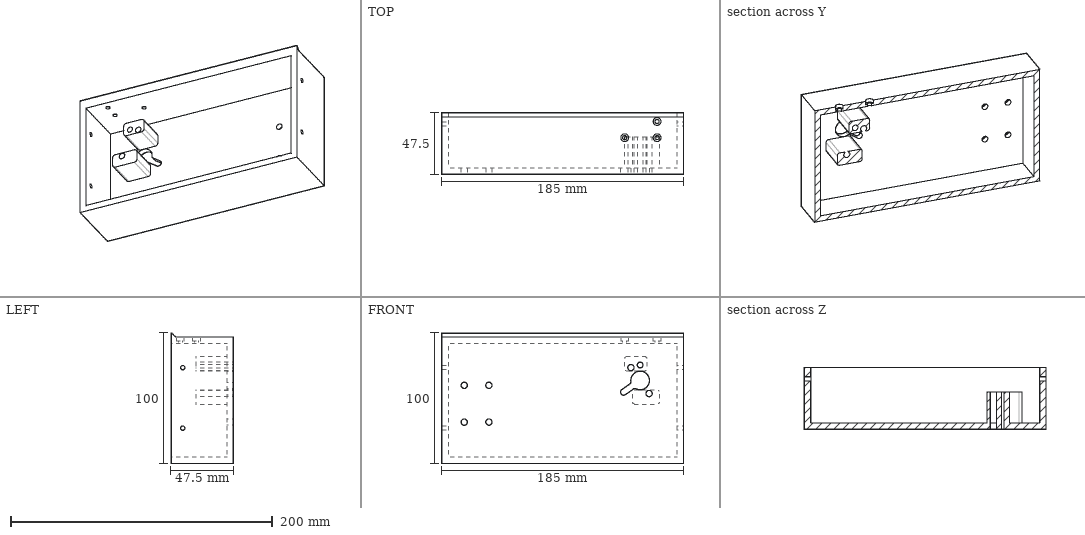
import cadquery as cq
import math

length = 185.0
depth = 47.5
total_height = 100.0
wall = 5.0

lip_height = 3.0
lip_flat = 0.5
box_height = total_height - lip_height

key_x = 151.7
key_z = 63.7
key_diameter = 14.0
slot_end_x = 139.2
slot_end_z = 54.8
slot_width = 4.6
slot_blend = 1.9

plate_hole_diameter = 4.6
plate_hole_columns = (17.2, 36.0)
plate_hole_rows = (31.8, 60.0)
upper_left_screw = (144.7, 73.5)
upper_right_screw = (151.7, 75.5)
lower_screw = (158.5, 53.7)
upper_right_screw_diameter = 4.3

block_end = 28.7
block_height = 11.1
block_corner = 2.2
lower_block_left = 145.8
lower_block_right = 166.5
upper_block_left = 139.7
upper_block_right = 157.1
block_gap = key_diameter + 0.4

bore_diameter = 3.1
counterbore_diameter = 6.0
counterbore_depth = 3.0
top_hole_places = ((139.9, 28.1), (164.7, 28.1), (164.7, 40.5))

cross_hole_y = 38.7
cross_hole_rows = (27.2, 73.5)


def front_cylinder(x, z, diameter, reach):
    """Cylinder that starts on the front face and runs back by reach."""
    return cq.Workplane("XZ", origin=(x, 0, z)).circle(diameter / 2).extrude(-reach)


def screw_block(left, right, bottom):
    """Rounded bar standing on the inside of the front plate."""
    bar = cq.Workplane("XY").box(right - left, block_end, block_height, centered=False)
    return bar.edges("|Y").fillet(block_corner).translate((left, 0, bottom))


def keyhole():
    """Round opening blended into its slanted slot, as deep as the front plate."""
    run = key_x - slot_end_x
    rise = key_z - slot_end_z
    slot = (
        cq.Workplane("XZ", origin=((key_x + slot_end_x) / 2, 0, (key_z + slot_end_z) / 2))
        .slot2D(math.hypot(run, rise) + slot_width, slot_width, math.degrees(math.atan2(rise, run)))
        .extrude(-wall)
    )
    opening = front_cylinder(key_x, key_z, key_diameter, wall).union(slot)
    key_radius = key_diameter / 2
    junction_zone = cq.selectors.BoxSelector(
        (key_x - key_radius, 0, key_z - key_radius),
        (key_x, wall, key_z + key_radius),
    )
    return opening.edges("|Y").edges(junction_zone).fillet(slot_blend)


def top_hole(x, y):
    """Counterbored hole through the top wall."""
    top = cq.Workplane("XY", origin=(x, y, box_height))
    counterbore = top.circle(counterbore_diameter / 2).extrude(-counterbore_depth)
    bore = top.circle(bore_diameter / 2).extrude(-wall)
    return counterbore.union(bore)


side_outline = [
    (0, 0),
    (depth, 0),
    (depth, total_height),
    (depth - lip_flat, total_height),
    (depth - lip_flat - lip_height, box_height),
    (0, box_height),
]
body = cq.Workplane("YZ").polyline(side_outline).close().extrude(length)
cavity = cq.Workplane("XY").box(length - 2 * wall, depth, box_height - 2 * wall, centered=False)
body = body.cut(cavity.translate((wall, wall, wall)))

lower_block_bottom = key_z - block_gap / 2 - block_height
upper_block_bottom = key_z + block_gap / 2
body = body.union(screw_block(lower_block_left, lower_block_right, lower_block_bottom))
body = body.union(screw_block(upper_block_left, upper_block_right, upper_block_bottom))

body = body.cut(keyhole())
for x in plate_hole_columns:
    for z in plate_hole_rows:
        body = body.cut(front_cylinder(x, z, plate_hole_diameter, wall))
for x, z in (upper_left_screw, lower_screw):
    body = body.cut(front_cylinder(x, z, plate_hole_diameter, block_end))
body = body.cut(front_cylinder(*upper_right_screw, upper_right_screw_diameter, block_end))

for x, y in top_hole_places:
    body = body.cut(top_hole(x, y))

for z in cross_hole_rows:
    cross_hole = cq.Workplane("YZ").center(cross_hole_y, z).circle(bore_diameter / 2).extrude(length)
    body = body.cut(cross_hole)

result = body